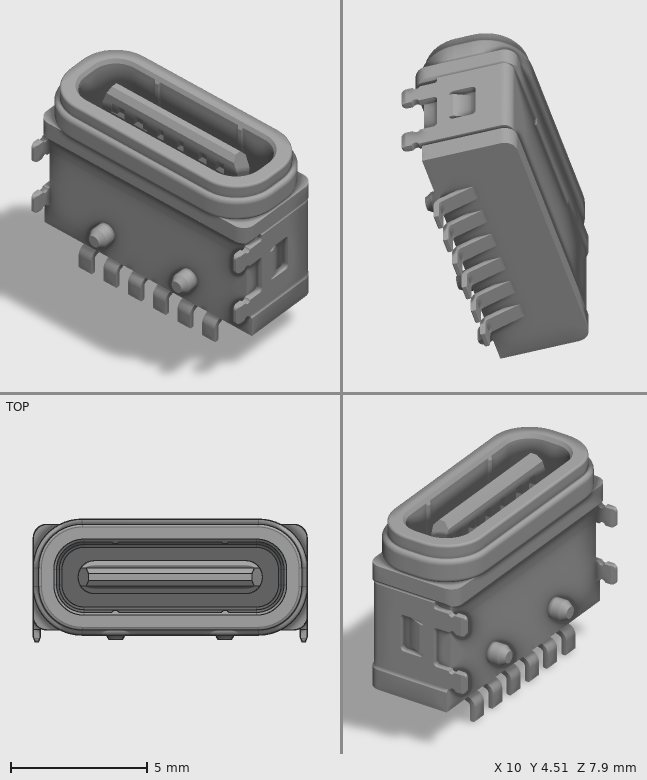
import cadquery as cq
import math

HALF_WIDTH = 5.02
TOP_Z = 7.9
REAR_Y = 1.94
FRONT_Y = -1.57

BASE_BOTTOM_Z = 1.2
BASE_TOP_Z = 2.14
SLOPE_START_Z = 4.71
FLANGE_BOTTOM_Z = 5.67
FLANGE_TOP_Z = 6.41
RIM_TOP_Z = 7.37
SLOPED_FRONT_Y = -1.62
CORNER_RADIUS = 0.5
EDGE_CHAMFER = 0.1

COLLAR_HALF_X = 4.82
COLLAR_RADIUS = 1.6
COLLAR_FILLET = 0.1
RIM_OVERHANG = 0.19
RIM_FILLET = RIM_OVERHANG
RIM_HALF_X = HALF_WIDTH
RIM_HALF_Y = REAR_Y + RIM_OVERHANG
RIM_RADIUS = COLLAR_RADIUS + RIM_OVERHANG
CAVITY_HALF_X = 4.17
CAVITY_HALF_Y = 1.3
CAVITY_RADIUS = 1.01
CAVITY_FLOOR_Z = 3.41
MOUTH_FLARE = 0.1
MOUTH_DEPTH = 0.15
FLOOR_STEP = 0.1
LOWER_STEP_HEIGHT = 0.04
UPPER_STEP_HEIGHT = 0.1

RIB_X = 2.01
RIB_DEPTH = 0.07
RIB_ROOT_WIDTH = 0.27
RIB_TIP_WIDTH = 0.14

TONGUE_BASE_HALF_X = 3.37
TONGUE_BASE_HALF_Y = 0.6
TONGUE_BASE_RADIUS = 0.59
TONGUE_HALF_Y = 0.33
TONGUE_TOP_HALF_X = 2.99
TONGUE_TOP_HALF_Y = 0.13
TONGUE_SHOULDER_Z = 6.29
TONGUE_BLADE_Z = 6.61
TONGUE_END_SLOPE_Z = 6.83
TONGUE_CHAMFER_Z = 7.61
TONGUE_TOP_Z = 7.84

POCKET_BOTTOM_Z = 6.83
POCKET_TOP_Z = 7.27
POCKET_DEPTH = 0.22
STEP_DEPTH = 0.05
STEP_WIDTH = 0.24
INNER_POCKET_X = 0.48
INNER_POCKET_WIDTH = 0.32
MIDDLE_POCKET_X = 1.56
MIDDLE_POCKET_WIDTH = 0.4
OUTER_POCKET_X = 2.41
OUTER_POCKET_WIDTH = 0.41

PEG_X = 2.0
PEG_Z = 2.35
PEG_RADIUS = 0.4
PEG_TIP_RADIUS = 0.24
PEG_SHOULDER_Y = -2.03
PEG_TIP_Y = -2.29

LEAD_COUNT = 6
LEAD_PITCH = 1.19
LEAD_WIDTH = 0.6
LEAD_THICKNESS = 0.21
LEAD_FRONT_Y = -1.65
LEAD_BEND_Z = 0.62
LEAD_BEND_RADIUS = 0.36
LEAD_SLOPE = 20.0
LEAD_SLOPE_LENGTH = 1.51
LEAD_TIP_CHAMFER = 0.04

SHEET = 0.26
BRACKET_BOTTOM_Z = 2.21
BRACKET_TOP_Z = 5.65
BRACKET_REAR_Y = 1.84
BRACKET_BEND_RADIUS = 0.4
PLATE_FRONT_Y = -0.99
LEG_TIP_Y = -2.38
LEG_HEIGHT = 0.77
UPPER_LEG_TOP_Z = 5.39
LEG_TIP_FILLET = 0.13
LEG_TAPER_LENGTH = 0.18
LEG_TAPER = 0.07
GAP_FILLET = 0.15
STEP_FILLET = 0.12
NOTCH_RADIUS = 0.14
NOTCH_OFFSET = 0.04
UPPER_NOTCH_Y = -1.79
LOWER_NOTCH_Y = -1.84

WINDOW_REAR_Y = 0.47
WINDOW_FRONT_Y = -0.53
WINDOW_BOTTOM_Z = 3.18
WINDOW_TOP_Z = 4.71
WINDOW_FILLET = 0.16
TAB_GAP = 0.16
TAB_HINGE_Y = -0.38
TAB_TIP_Y = 0.28
TAB_DROP = 0.28

LIP_HALF_WIDTH = 2.01
LIP_BOTTOM_Z = 5.39

CORE_HALF_X = HALF_WIDTH - SHEET
CORE_REAR_Y = BRACKET_REAR_Y - SHEET
INNER_BEND_RADIUS = BRACKET_BEND_RADIUS - SHEET
SIDES = (-1, 1)


def block(x0, x1, y0, y1, z0, z1):
    """Box given by its limits along each axis."""
    return cq.Workplane("XY").box(x1 - x0, y1 - y0, z1 - z0, centered=False).translate((x0, y0, z0))


def rounded_prism(half_x, half_y, radius, z0, z1, growth=0.0):
    """Rounded rectangle standing from z0 to z1, its outline growing outward by `growth` on the way up."""
    outline = cq.Sketch().rect(2 * half_x, 2 * half_y).vertices().fillet(radius)
    taper = -math.degrees(math.atan2(growth, z1 - z0))
    return cq.Workplane("XY").workplane(offset=z0).placeSketch(outline).extrude(z1 - z0, taper=taper)


def extrude_along_x(points, half_length):
    """Prism of a (y, z) outline, centred on X = 0."""
    return cq.Workplane("YZ").polyline(points).close().extrude(half_length, both=True)


def extrude_along_y(points, half_length):
    """Prism of an (x, z) outline, centred on Y = 0."""
    return cq.Workplane("XZ").polyline(points).close().extrude(half_length, both=True)


def both_halves(half_outline):
    """Closed symmetric outline from the points of its positive half, listed upward."""
    return half_outline + [(-across, z) for across, z in reversed(half_outline)]


def base():
    """Foot of the housing: rounded at the rear, chamfered around its upper edge except at the front."""
    foot = block(-HALF_WIDTH, HALF_WIDTH, FRONT_Y, REAR_Y, BASE_BOTTOM_Z, BASE_TOP_Z)
    foot = foot.edges("|Z and >Y").fillet(CORNER_RADIUS)
    return foot.faces(">Z").edges("not <Y").chamfer(EDGE_CHAMFER)


def core():
    """Middle of the housing, inside the bracket; the upper part of its front face leans forward."""
    outline = [
        (CORE_REAR_Y, BASE_TOP_Z),
        (FRONT_Y, BASE_TOP_Z),
        (FRONT_Y, SLOPE_START_Z),
        (SLOPED_FRONT_Y, FLANGE_BOTTOM_Z),
        (CORE_REAR_Y, FLANGE_BOTTOM_Z),
    ]
    return extrude_along_x(outline, CORE_HALF_X).edges("|Z and >Y").fillet(INNER_BEND_RADIUS)


def flange():
    """Plate above the bracket, its lower edge chamfered at the sides and the rear."""
    limits = block(-HALF_WIDTH, HALF_WIDTH, -REAR_Y, REAR_Y, FLANGE_BOTTOM_Z, FLANGE_TOP_Z)
    limits = limits.faces("<Z").edges("not <Y").chamfer(EDGE_CHAMFER)
    plan = rounded_prism(HALF_WIDTH, REAR_Y, CORNER_RADIUS, FLANGE_BOTTOM_Z, FLANGE_TOP_Z)
    return plan.intersect(limits)


def collar():
    """Mating collar with the rounded sealing rim around it."""
    neck = rounded_prism(COLLAR_HALF_X, REAR_Y, COLLAR_RADIUS, FLANGE_TOP_Z, TOP_Z)
    neck = neck.faces(">Z").edges().fillet(COLLAR_FILLET)
    rim = rounded_prism(RIM_HALF_X, RIM_HALF_Y, RIM_RADIUS, FLANGE_TOP_Z, RIM_TOP_Z)
    rim = rim.faces("<Z or >Z").edges().fillet(RIM_FILLET)
    return neck.union(rim)


def cavity_section(inset, z0, z1, growth=0.0):
    """Length of the cavity between two levels; `inset` is how far its foot lies inside the walls."""
    return rounded_prism(
        CAVITY_HALF_X - inset, CAVITY_HALF_Y - inset, CAVITY_RADIUS - inset, z0, z1, growth
    )


def cavity():
    """Space inside the collar: two sloping steps above the floor, then straight walls."""
    lower_step_z = CAVITY_FLOOR_Z + LOWER_STEP_HEIGHT
    upper_step_z = lower_step_z + UPPER_STEP_HEIGHT
    space = cavity_section(2 * FLOOR_STEP, CAVITY_FLOOR_Z, lower_step_z, FLOOR_STEP)
    space = space.union(cavity_section(FLOOR_STEP, lower_step_z, upper_step_z, FLOOR_STEP))
    return space.union(cavity_section(0, upper_step_z, TOP_Z))


def mouth():
    """Flared mouth of the cavity, deep enough to slope the tops of the guide ribs as well."""
    rib_top_drop = RIB_DEPTH * MOUTH_DEPTH / MOUTH_FLARE
    return cavity_section(RIB_DEPTH, TOP_Z - MOUTH_DEPTH - rib_top_drop, TOP_Z, RIB_DEPTH + MOUTH_FLARE)


def guide_ribs():
    """Four slender ribs, two on each long wall of the cavity."""
    wall = CAVITY_HALF_Y + MOUTH_FLARE
    tip = CAVITY_HALF_Y - RIB_DEPTH
    profile = [
        (-RIB_ROOT_WIDTH / 2, wall),
        (-RIB_ROOT_WIDTH / 2, CAVITY_HALF_Y),
        (-RIB_TIP_WIDTH / 2, tip),
        (RIB_TIP_WIDTH / 2, tip),
        (RIB_ROOT_WIDTH / 2, CAVITY_HALF_Y),
        (RIB_ROOT_WIDTH / 2, wall),
    ]
    rib = cq.Workplane("XY").workplane(offset=CAVITY_FLOOR_Z).polyline(profile).close()
    rib = rib.extrude(TOP_Z - COLLAR_FILLET - CAVITY_FLOOR_Z)
    pair = rib.translate((-RIB_X, 0, 0)).union(rib.translate((RIB_X, 0, 0)))
    return pair.union(pair.mirror("XZ"))


def contact_pockets():
    """Six contact pockets; the two outermost on the left each open into a shallow step on one side."""
    def pocket(centre_x, width, depth):
        return block(
            centre_x - width / 2, centre_x + width / 2,
            -TONGUE_HALF_Y, depth - TONGUE_HALF_Y,
            POCKET_BOTTOM_Z, POCKET_TOP_Z,
        )

    outer_step_x = -OUTER_POCKET_X - (OUTER_POCKET_WIDTH + STEP_WIDTH) / 2
    middle_step_x = -MIDDLE_POCKET_X + (MIDDLE_POCKET_WIDTH + STEP_WIDTH) / 2
    pockets = pocket(outer_step_x, STEP_WIDTH, STEP_DEPTH)
    pockets = pockets.union(pocket(middle_step_x, STEP_WIDTH, STEP_DEPTH))
    for side in SIDES:
        pockets = pockets.union(pocket(side * INNER_POCKET_X, INNER_POCKET_WIDTH, POCKET_DEPTH))
        pockets = pockets.union(pocket(side * MIDDLE_POCKET_X, MIDDLE_POCKET_WIDTH, POCKET_DEPTH))
        pockets = pockets.union(pocket(side * OUTER_POCKET_X, OUTER_POCKET_WIDTH, POCKET_DEPTH))
    return pockets


def tongue():
    """Contact tongue: a round-ended base narrowing to a chamfered blade with sloping ends."""
    plan = rounded_prism(
        TONGUE_BASE_HALF_X, TONGUE_BASE_HALF_Y, TONGUE_BASE_RADIUS, CAVITY_FLOOR_Z, TONGUE_TOP_Z
    )
    half_section = [
        (TONGUE_BASE_HALF_Y, CAVITY_FLOOR_Z),
        (TONGUE_BASE_HALF_Y, TONGUE_SHOULDER_Z),
        (TONGUE_HALF_Y, TONGUE_BLADE_Z),
        (TONGUE_HALF_Y, TONGUE_CHAMFER_Z),
        (TONGUE_TOP_HALF_Y, TONGUE_TOP_Z),
    ]
    half_elevation = [
        (TONGUE_BASE_HALF_X, CAVITY_FLOOR_Z),
        (TONGUE_BASE_HALF_X, TONGUE_END_SLOPE_Z),
        (TONGUE_TOP_HALF_X, TONGUE_TOP_Z),
    ]
    cross_section = extrude_along_x(both_halves(half_section), TONGUE_BASE_HALF_X)
    elevation = extrude_along_y(both_halves(half_elevation), TONGUE_BASE_HALF_Y)
    return plan.intersect(cross_section).intersect(elevation).cut(contact_pockets())


def peg(x):
    """Round locating peg on the front face, with a conical tip."""
    profile = [
        (0, FRONT_Y + PEG_RADIUS),
        (PEG_RADIUS, FRONT_Y + PEG_RADIUS),
        (PEG_RADIUS, PEG_SHOULDER_Y),
        (PEG_TIP_RADIUS, PEG_TIP_Y),
        (0, PEG_TIP_Y),
    ]
    pin = cq.Workplane("XY").polyline(profile).close().revolve(360, (0, 0, 0), (0, 1, 0))
    return pin.translate((x, 0, PEG_Z))


def lead(x):
    """Bent lead: an upright foot, a bend, and a slope that runs up into the base."""
    centre_y = LEAD_FRONT_Y + LEAD_BEND_RADIUS
    inner_radius = LEAD_BEND_RADIUS - LEAD_THICKNESS
    end_angle = 90 + LEAD_SLOPE
    middle_angle = (180 + end_angle) / 2
    slope = math.radians(LEAD_SLOPE)
    run = LEAD_SLOPE_LENGTH * math.cos(slope)
    rise = LEAD_SLOPE_LENGTH * math.sin(slope)

    def on_bend(radius, angle):
        turn = math.radians(angle)
        return (centre_y + radius * math.cos(turn), LEAD_BEND_Z + radius * math.sin(turn))

    outer_end = on_bend(LEAD_BEND_RADIUS, end_angle)
    inner_end = on_bend(inner_radius, end_angle)
    strip = (
        cq.Workplane("YZ")
        .moveTo(LEAD_FRONT_Y, 0)
        .lineTo(LEAD_FRONT_Y, LEAD_BEND_Z)
        .threePointArc(on_bend(LEAD_BEND_RADIUS, middle_angle), outer_end)
        .lineTo(outer_end[0] + run, outer_end[1] + rise)
        .lineTo(inner_end[0] + run, inner_end[1] + rise)
        .lineTo(*inner_end)
        .threePointArc(on_bend(inner_radius, middle_angle), on_bend(inner_radius, 180))
        .lineTo(LEAD_FRONT_Y + LEAD_THICKNESS, 0)
        .close()
        .extrude(LEAD_WIDTH / 2, both=True)
    )
    strip = strip.faces("<Z").edges("|X").chamfer(LEAD_TIP_CHAMFER)
    return strip.translate((x, 0, 0))


def rear_lip():
    """Lip hanging from the flange behind the upper edge of the bracket."""
    return block(
        -LIP_HALF_WIDTH, LIP_HALF_WIDTH, BRACKET_REAR_Y, REAR_Y,
        LIP_BOTTOM_Z, FLANGE_BOTTOM_Z + EDGE_CHAMFER,
    )


def make_housing():
    body = base().union(core()).union(flange()).union(collar()).union(rear_lip())
    body = body.cut(cavity()).union(guide_ribs()).cut(mouth()).union(tongue())
    for side in SIDES:
        body = body.union(peg(side * PEG_X))
        body = body.cut(latch_tab(side))
    for index in range(LEAD_COUNT):
        body = body.union(lead((index - (LEAD_COUNT - 1) / 2) * LEAD_PITCH))
    return body


def bent_slab(half_x, tip_half_x, rear_y, radius):
    """Slab from the leg tips to a rounded rear, changing width along the tapered leg ends."""
    taper_y = LEG_TIP_Y + LEG_TAPER_LENGTH
    outline = [
        (-tip_half_x, LEG_TIP_Y),
        (-half_x, taper_y),
        (-half_x, rear_y),
        (half_x, rear_y),
        (half_x, taper_y),
        (tip_half_x, LEG_TIP_Y),
    ]
    slab = cq.Workplane("XY").workplane(offset=BRACKET_BOTTOM_Z).polyline(outline).close()
    slab = slab.extrude(BRACKET_TOP_Z - BRACKET_BOTTOM_Z)
    return slab.edges("|Z and >Y").fillet(radius)


def leg_profile():
    """Outline of the side plates and their two pairs of legs, as a bar running along X."""
    lower_leg_top = BRACKET_BOTTOM_Z + LEG_HEIGHT
    upper_leg_bottom = UPPER_LEG_TOP_Z - LEG_HEIGHT

    def opening(z0, z1):
        return block(-HALF_WIDTH, HALF_WIDTH, 2 * LEG_TIP_Y, PLATE_FRONT_Y, z0, z1)

    gap = opening(lower_leg_top, upper_leg_bottom).edges("|X and >Y").fillet(GAP_FILLET)
    shoulder = opening(UPPER_LEG_TOP_Z, BRACKET_TOP_Z)
    shoulder = shoulder.edges("|X and >Y and <Z").fillet(STEP_FILLET)
    bar = block(-HALF_WIDTH, HALF_WIDTH, LEG_TIP_Y, BRACKET_REAR_Y, BRACKET_BOTTOM_Z, BRACKET_TOP_Z)
    bar = bar.cut(gap).cut(shoulder)
    bar = bar.edges("|X and <Y").fillet(LEG_TIP_FILLET)
    for leg_top in (lower_leg_top, UPPER_LEG_TOP_Z):
        notches = [
            (UPPER_NOTCH_Y, leg_top + NOTCH_OFFSET),
            (LOWER_NOTCH_Y, leg_top - LEG_HEIGHT - NOTCH_OFFSET),
        ]
        rods = cq.Workplane("YZ").pushPoints(notches).circle(NOTCH_RADIUS)
        bar = bar.cut(rods.extrude(HALF_WIDTH, both=True))
    return bar


def latch_slots():
    """C-shaped slot around each latch tab, as a bar running along X through both side plates."""
    window = block(
        -HALF_WIDTH, HALF_WIDTH, WINDOW_FRONT_Y, WINDOW_REAR_Y, WINDOW_BOTTOM_Z, WINDOW_TOP_Z
    )
    window = window.edges("|X").fillet(WINDOW_FILLET)
    root = block(
        -HALF_WIDTH, HALF_WIDTH, WINDOW_FRONT_Y, TAB_HINGE_Y,
        WINDOW_BOTTOM_Z + TAB_GAP, WINDOW_TOP_Z - TAB_GAP,
    )
    return window.cut(root)


def latch_tab(side):
    """Tab bent inward into the housing; side is -1 or 1."""
    outline = [
        (side * HALF_WIDTH, TAB_HINGE_Y),
        (side * (HALF_WIDTH - TAB_DROP), TAB_TIP_Y),
        (side * (CORE_HALF_X - TAB_DROP), TAB_TIP_Y),
        (side * CORE_HALF_X, TAB_HINGE_Y),
    ]
    tab = cq.Workplane("XY").workplane(offset=WINDOW_BOTTOM_Z + TAB_GAP).polyline(outline).close()
    return tab.extrude(WINDOW_TOP_Z - WINDOW_BOTTOM_Z - 2 * TAB_GAP)


def make_bracket():
    outside = bent_slab(HALF_WIDTH, HALF_WIDTH - LEG_TAPER, BRACKET_REAR_Y, BRACKET_BEND_RADIUS)
    inside = bent_slab(CORE_HALF_X, CORE_HALF_X + LEG_TAPER, CORE_REAR_Y, INNER_BEND_RADIUS)
    sheet = outside.cut(inside).intersect(leg_profile()).cut(latch_slots())
    for side in SIDES:
        sheet = sheet.union(latch_tab(side))
    return sheet


housing = make_housing()
bracket = make_bracket()
result = cq.Compound.makeCompound([housing.solids().val(), bracket.solids().val()])